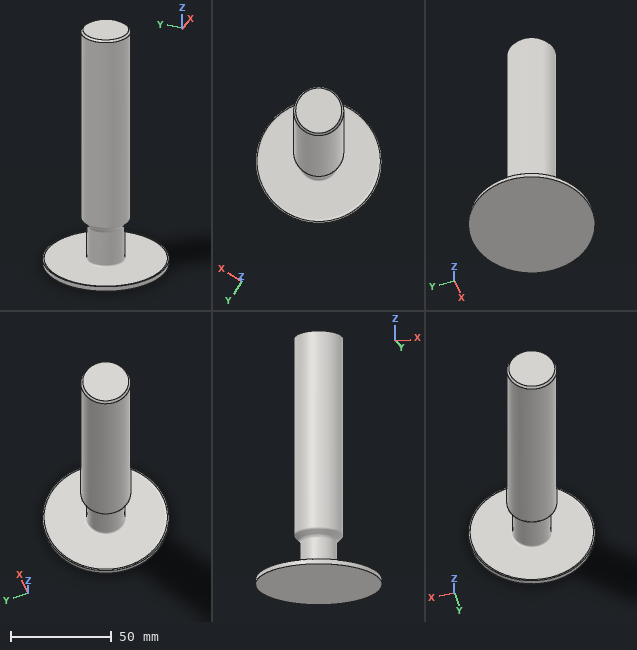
import cadquery as cq

TOTAL_HEIGHT = 130.0
BASE_DIAMETER = 63.0

RIM_HEIGHT = 2.6
FLOOR_THICKNESS = 1.0
RECESS_DIAMETER = 61.4

FLANGE_TOP = 2.3
DISH_DIAMETER = 59.0
NECK_DIAMETER = 19.0
NECK_FOOT_RADIUS = 1.0
GRIP_DIAMETER = 25.0
GRIP_BOTTOM = 25.2
GRIP_TOP_CHAMFER = 1.0
SHOULDER_TOP_RADIUS = 1.0
SHOULDER_FOOT_RADIUS = 2.0

DISH_SLOPE = (RIM_HEIGHT - FLANGE_TOP) / ((BASE_DIAMETER - DISH_DIAMETER) / 2)
JOINT_HEIGHT = FLANGE_TOP + DISH_SLOPE * (RECESS_DIAMETER - DISH_DIAMETER) / 2

SHOULDER_BOTTOM = GRIP_BOTTOM - (GRIP_DIAMETER - NECK_DIAMETER) / 2


def circle_at(diameter, height):
    """Box selector for the horizontal circular edge of this diameter and height."""
    reach = diameter / 2 + 0.1
    return cq.selectors.BoxSelector(
        (-reach, -reach, height - 0.01),
        (reach, reach, height + 0.01),
        boundingbox=True,
    )


def make_base():
    """Shallow round cup whose sloping rim surrounds the handle flange."""
    base_radius = BASE_DIAMETER / 2
    recess_radius = RECESS_DIAMETER / 2
    return (
        cq.Workplane("XZ")
        .lineTo(base_radius, 0)
        .lineTo(base_radius, RIM_HEIGHT)
        .lineTo(recess_radius, JOINT_HEIGHT)
        .lineTo(recess_radius, FLOOR_THICKNESS)
        .lineTo(0, FLOOR_THICKNESS)
        .close()
        .revolve(360, (0, 0, 0), (0, 1, 0))
    )


def make_handle():
    """Turned handle whose wide flange fills the recess of the base."""
    flange_radius = RECESS_DIAMETER / 2
    neck_radius = NECK_DIAMETER / 2
    grip_radius = GRIP_DIAMETER / 2
    body = (
        cq.Workplane("XZ")
        .moveTo(0, FLOOR_THICKNESS)
        .lineTo(flange_radius, FLOOR_THICKNESS)
        .lineTo(flange_radius, JOINT_HEIGHT)
        .lineTo(DISH_DIAMETER / 2, FLANGE_TOP)
        .lineTo(neck_radius, FLANGE_TOP)
        .lineTo(neck_radius, SHOULDER_BOTTOM)
        .lineTo(grip_radius, GRIP_BOTTOM)
        .lineTo(grip_radius, TOTAL_HEIGHT)
        .lineTo(0, TOTAL_HEIGHT)
        .close()
        .revolve(360, (0, 0, 0), (0, 1, 0))
    )
    body = body.edges(circle_at(NECK_DIAMETER, FLANGE_TOP)).fillet(NECK_FOOT_RADIUS)
    body = body.edges(circle_at(NECK_DIAMETER, SHOULDER_BOTTOM)).fillet(SHOULDER_FOOT_RADIUS)
    body = body.edges(circle_at(GRIP_DIAMETER, GRIP_BOTTOM)).fillet(SHOULDER_TOP_RADIUS)
    return body.edges(circle_at(GRIP_DIAMETER, TOTAL_HEIGHT)).chamfer(GRIP_TOP_CHAMFER)


base = make_base()
handle = make_handle()

result = cq.Compound.makeCompound([base.val(), handle.val()])